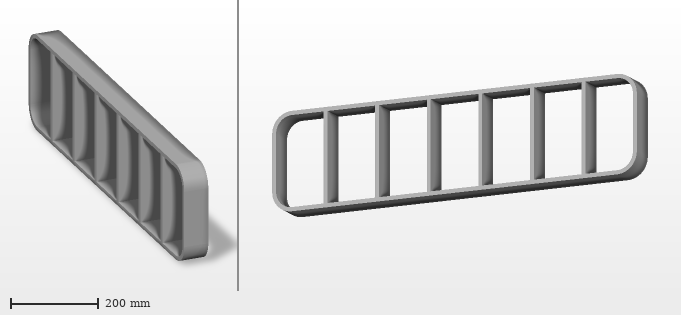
import cadquery as cq

LENGTH = 923.5
DEPTH = 60.0
HEIGHT = 238.0
CORNER_RADIUS = 50.0
WALL = 10.0
RIB_THICKNESS = 10.0
RIB_COUNT = 6

inner_length = LENGTH - 2 * WALL
inner_height = HEIGHT - 2 * WALL
inner_radius = CORNER_RADIUS - WALL
bay_width = (inner_length - RIB_COUNT * RIB_THICKNESS) / (RIB_COUNT + 1)
rib_pitch = bay_width + RIB_THICKNESS


def rounded_block(length, height, radius):
    """Block through the full depth, with its four Y-direction edges rounded."""
    return cq.Workplane("XY").box(length, DEPTH, height).edges("|Y").fillet(radius)


def make_frame():
    """Closed rounded-rectangle band of constant wall thickness."""
    outer = rounded_block(LENGTH, HEIGHT, CORNER_RADIUS)
    opening = rounded_block(inner_length, inner_height, inner_radius)
    return outer.cut(opening)


def make_rib(index):
    """Upright divider, reaching halfway into the top and bottom walls."""
    x = (index - (RIB_COUNT - 1) / 2) * rib_pitch
    rib_height = inner_height + WALL
    return cq.Workplane("XY").box(RIB_THICKNESS, DEPTH, rib_height).translate((x, 0, 0))


result = make_frame()
for rib_index in range(RIB_COUNT):
    result = result.union(make_rib(rib_index))